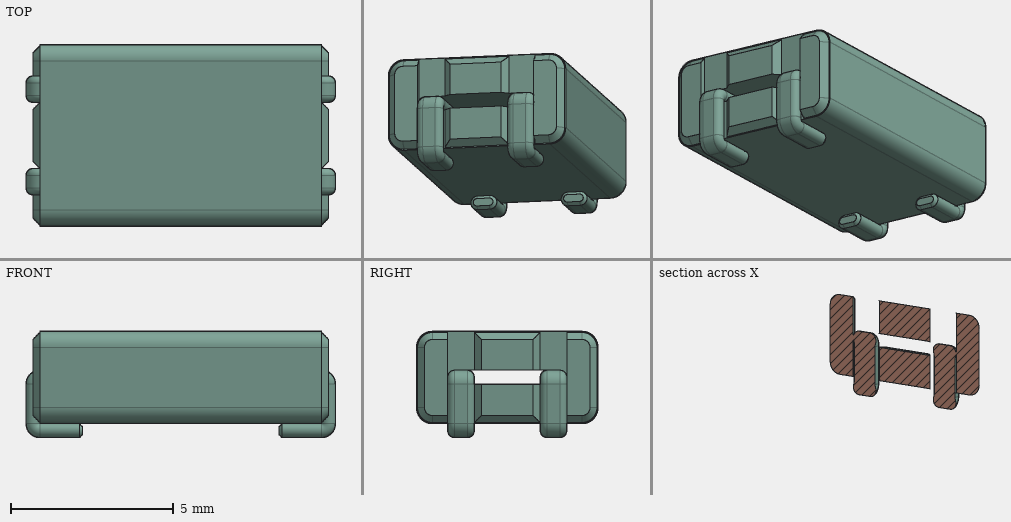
import cadquery as cq
import math

overall_length = 9.54
body_width = 5.6
body_height = 2.85
body_corner_radius = 0.5

wire_thickness = 0.43
wire_width = 0.82
wire_pitch = 2.85
inner_bend_radius = 0.002
foot_length = 1.32
foot_tip_chamfer = 0.1

pad_thickness = 0.215
pad_chamfer = 0.214
pad_inset = 0.035
slot_floor = 1.22

body_length = overall_length - 2 * wire_thickness
body_end = body_length / 2
wire_y = wire_pitch / 2
slot_width = wire_pitch + wire_width
centre_pad_width = wire_pitch - wire_width
slot_middle = slot_floor + wire_thickness / 2


def make_body():
    """Block with its four long edges rounded."""
    block = cq.Workplane("XY").box(body_length, body_width, body_height, centered=(True, True, False))
    return block.edges("|X").fillet(body_corner_radius)


def pad_blank(width, corner_radius):
    """Chamfered pad on the +X end, spanning the body height."""
    height = body_height - 2 * pad_inset
    pad = (
        cq.Workplane("YZ", origin=(body_end, 0, body_height / 2))
        .rect(width, height)
        .extrude(pad_thickness)
    )
    if corner_radius > 0:
        pad = pad.edges("|X").fillet(corner_radius)
    return pad.faces(">X").chamfer(pad_chamfer)


def make_end_pads():
    """Two outer pads with rounded corners and a centre pad, parted by the wire grooves (+X end)."""
    outer = pad_blank(body_width - 2 * pad_inset, body_corner_radius - pad_inset)
    gap = (
        cq.Workplane("XY", origin=(body_end + pad_thickness / 2, 0, body_height / 2))
        .box(pad_thickness, slot_width, body_height)
    )
    return outer.cut(gap).union(pad_blank(centre_pad_width, 0))


def make_slot():
    """Wide flat passage along X with rounded sides that match the edges of the wires."""
    return (
        cq.Workplane("YZ", origin=(0, 0, slot_middle))
        .slot2D(slot_width, wire_thickness)
        .extrude(overall_length / 2, both=True)
    )


def make_wire_end(y):
    """Half of one wire: from mid-slot out to the +X end, down the end face and back under the body."""
    centre_radius = inner_bend_radius + wire_thickness / 2
    bend_x = body_end - inner_bend_radius
    upper_bend_z = slot_floor - inner_bend_radius
    lower_bend_z = inner_bend_radius
    diagonal = centre_radius * math.sqrt(0.5)
    wire_x = bend_x + centre_radius
    foot_z = lower_bend_z - centre_radius
    path = (
        cq.Workplane("XZ", origin=(0, y, 0))
        .moveTo(0, slot_middle)
        .lineTo(bend_x, slot_middle)
        .threePointArc((bend_x + diagonal, upper_bend_z + diagonal), (wire_x, upper_bend_z))
        .lineTo(wire_x, lower_bend_z)
        .threePointArc((bend_x + diagonal, lower_bend_z - diagonal), (bend_x, foot_z))
        .lineTo(body_end - foot_length, foot_z)
    )
    wire = (
        cq.Workplane("YZ", origin=(0, y, slot_middle))
        .slot2D(wire_width, wire_thickness)
        .sweep(path)
    )
    foot_tip = cq.selectors.NearestToPointSelector((body_end - foot_length, y, foot_z))
    return wire.faces(foot_tip).edges().chamfer(foot_tip_chamfer)


def mirrored_to_both_ends(shape):
    """Shape on the +X end joined with its mirror image on the -X end."""
    return shape.union(shape.mirror("YZ"))


result = make_body().union(mirrored_to_both_ends(make_end_pads())).cut(make_slot())
for y in (-wire_y, wire_y):
    result = result.union(mirrored_to_both_ends(make_wire_end(y)))